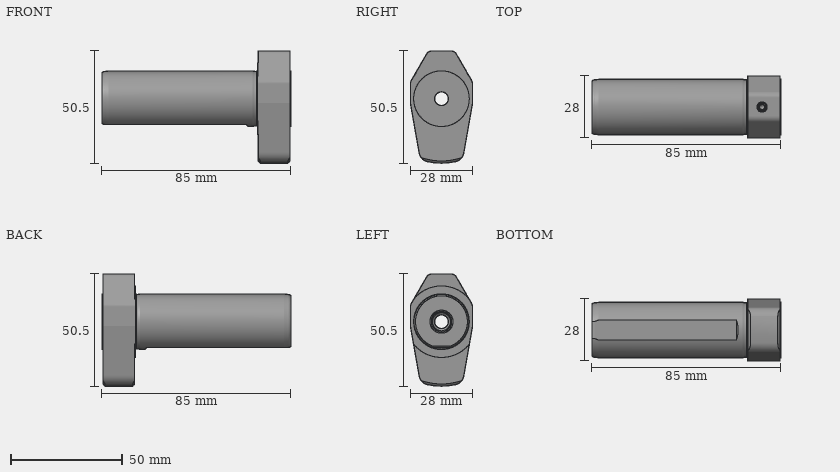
import cadquery as cq
import math

LENGTH = 85.0
HEAD_FRONT = 70.2
HEAD_BACK = 84.5
HEAD_TOP = 21.5
HEAD_BOTTOM_RADIUS = 29.0
HEAD_HALF_WIDTH = 13.98
SHOULDER_Z = 7.5
SHOULDER_SLOPE = 60.0
TAPER_START_Z = -2.1
TAPER_ANGLE = 10.0
TOP_FILLET = 3.0
BOTTOM_FILLET = 5.0
BOTTOM_CHAMFER = 1.0

FRONT_PAD_DIAMETER = 32.1
FRONT_PAD_HEIGHT = 0.25
BACK_PAD_DIAMETER = 25.0

SHAFT_RADIUS = 25.0 / 2
RELIEF_RADIUS = 24.6 / 2
TIP_FACE_RADIUS = 11.65
TIP_ROUND_LENGTH = 1.5
LEAD_IN_END = 3.15
GROOVE_START = 67.8
GROOVE_TAPER = 0.8
GROOVE_FLOOR_END = 69.4

FLAT_DROP = 11.65
FLAT_RAMP_START = 64.85

BORE_DIAMETER = 6.0
COUNTERSINK_DIAMETER = 10.4
ENTRY_DIAMETER = 9.2
THREAD_DIAMETER = 8.2
COUNTERSINK_DEPTH = 0.7
ENTRY_DEPTH = 12.75
THREAD_DEPTH = 25.5

SCREW_X = 76.4
SCREW_MOUTH_DIAMETER = 4.6
SCREW_DIAMETER = 4.0
SCREW_TOP_DIAMETER = 3.3
SOCKET_DIAMETER = 2.3
SCREW_RECESS = 0.3
SOCKET_DEPTH = 1.7


def revolve_about_x(outline):
    return outline.close().revolve(360, (0, 0, 0), (1, 0, 0))


def disc(x_start, x_end, diameter):
    return cq.Workplane("YZ", origin=(x_start, 0, 0)).circle(diameter / 2).extrude(x_end - x_start)


def make_head():
    top_half_width = HEAD_HALF_WIDTH - (HEAD_TOP - SHOULDER_Z) / math.tan(math.radians(SHOULDER_SLOPE))

    slope = math.tan(math.radians(TAPER_ANGLE))
    axis_width = HEAD_HALF_WIDTH - slope * TAPER_START_Z
    a = 1 + slope**2
    b = 2 * axis_width * slope
    c = axis_width**2 - HEAD_BOTTOM_RADIUS**2
    corner_z = (-b - math.sqrt(b**2 - 4 * a * c)) / (2 * a)
    corner_y = axis_width + slope * corner_z

    head = (
        cq.Workplane("YZ", origin=(HEAD_FRONT, 0, 0))
        .moveTo(top_half_width, HEAD_TOP)
        .lineTo(HEAD_HALF_WIDTH, SHOULDER_Z)
        .lineTo(HEAD_HALF_WIDTH, TAPER_START_Z)
        .lineTo(corner_y, corner_z)
        .threePointArc((0, -HEAD_BOTTOM_RADIUS), (-corner_y, corner_z))
        .lineTo(-HEAD_HALF_WIDTH, TAPER_START_Z)
        .lineTo(-HEAD_HALF_WIDTH, SHOULDER_Z)
        .lineTo(-top_half_width, HEAD_TOP)
        .close()
        .extrude(HEAD_BACK - HEAD_FRONT)
    )
    above_taper = cq.selectors.BoxSelector((0, -42.5, SHOULDER_Z - 0.85), (LENGTH, 42.5, HEAD_TOP + 0.85))
    bottom_corners = cq.selectors.BoxSelector((0, -42.5, corner_z - 0.85), (LENGTH, 42.5, corner_z + 0.85))
    head = head.edges("|X").edges(above_taper).fillet(TOP_FILLET)
    head = head.edges("|X").edges(bottom_corners).fillet(BOTTOM_FILLET)

    rim = HEAD_BOTTOM_RADIUS - BOTTOM_CHAMFER
    blank = revolve_about_x(
        cq.Workplane("XZ")
        .moveTo(HEAD_FRONT, 0)
        .lineTo(HEAD_FRONT, rim)
        .lineTo(HEAD_FRONT + BOTTOM_CHAMFER, HEAD_BOTTOM_RADIUS)
        .lineTo(HEAD_BACK - BOTTOM_CHAMFER, HEAD_BOTTOM_RADIUS)
        .lineTo(HEAD_BACK, rim)
        .lineTo(HEAD_BACK, 0)
    )
    head = head.intersect(blank)

    pad_front = HEAD_FRONT - FRONT_PAD_HEIGHT
    shifted_head = head.translate((-FRONT_PAD_HEIGHT, 0, 0))
    front_pad = disc(pad_front, HEAD_FRONT, FRONT_PAD_DIAMETER).intersect(shifted_head)
    return head.union(front_pad).union(disc(HEAD_BACK, LENGTH, BACK_PAD_DIAMETER))


def tip_arc_middle(start_z, end_z):
    """Middle of the tip rounding, which ends parallel to the shaft axis."""
    drop = end_z - start_z
    radius = (TIP_ROUND_LENGTH**2 + drop**2) / (2 * drop)
    half_angle = math.asin(TIP_ROUND_LENGTH / radius) / 2
    x = TIP_ROUND_LENGTH - radius * math.sin(half_angle)
    z = end_z - radius * (1 - math.cos(half_angle))
    return x, z


def make_shaft():
    shaft = revolve_about_x(
        cq.Workplane("XZ")
        .lineTo(0, TIP_FACE_RADIUS)
        .threePointArc(tip_arc_middle(TIP_FACE_RADIUS, RELIEF_RADIUS), (TIP_ROUND_LENGTH, RELIEF_RADIUS))
        .lineTo(LEAD_IN_END, SHAFT_RADIUS)
        .lineTo(GROOVE_START, SHAFT_RADIUS)
        .lineTo(GROOVE_START + GROOVE_TAPER, RELIEF_RADIUS)
        .lineTo(GROOVE_FLOOR_END, RELIEF_RADIUS)
        .lineTo(HEAD_FRONT - FRONT_PAD_HEIGHT, SHAFT_RADIUS)
        .lineTo(HEAD_FRONT, SHAFT_RADIUS)
        .lineTo(HEAD_FRONT, 0)
    )

    flat_tip = FLAT_DROP - (RELIEF_RADIUS - TIP_FACE_RADIUS)
    arc_x, arc_z = tip_arc_middle(flat_tip, FLAT_DROP)
    ramp = SHAFT_RADIUS - FLAT_DROP
    flat_cut = (
        cq.Workplane("XZ")
        .moveTo(0, -flat_tip)
        .threePointArc((arc_x, -arc_z), (TIP_ROUND_LENGTH, -FLAT_DROP))
        .lineTo(FLAT_RAMP_START, -FLAT_DROP)
        .lineTo(FLAT_RAMP_START + ramp, -SHAFT_RADIUS)
        .lineTo(0, -SHAFT_RADIUS)
        .close()
        .extrude(SHAFT_RADIUS, both=True)
    )
    return shaft.cut(flat_cut)


def make_bore():
    entry_end_x = ENTRY_DEPTH + (ENTRY_DIAMETER - THREAD_DIAMETER) / 2
    thread_end_x = THREAD_DEPTH + (THREAD_DIAMETER - BORE_DIAMETER) / 2
    return revolve_about_x(
        cq.Workplane("XZ")
        .lineTo(0, COUNTERSINK_DIAMETER / 2)
        .lineTo(COUNTERSINK_DEPTH, ENTRY_DIAMETER / 2)
        .lineTo(ENTRY_DEPTH, ENTRY_DIAMETER / 2)
        .lineTo(entry_end_x, THREAD_DIAMETER / 2)
        .lineTo(THREAD_DEPTH, THREAD_DIAMETER / 2)
        .lineTo(thread_end_x, BORE_DIAMETER / 2)
        .lineTo(LENGTH, BORE_DIAMETER / 2)
        .lineTo(LENGTH, 0)
    )


def make_screw_recess():
    """Space above the set screw, around its bevelled rim and inside its socket."""
    bevel_drop = (SCREW_DIAMETER - SCREW_TOP_DIAMETER) / 2
    mouth_depth = (SCREW_MOUTH_DIAMETER - SCREW_DIAMETER) / 2
    socket_radius = SOCKET_DIAMETER / 2
    recess = (
        cq.Workplane("XZ")
        .lineTo(SCREW_MOUTH_DIAMETER / 2, 0)
        .lineTo(SCREW_DIAMETER / 2, -mouth_depth)
        .lineTo(SCREW_DIAMETER / 2, -SCREW_RECESS - bevel_drop)
        .lineTo(SCREW_TOP_DIAMETER / 2, -SCREW_RECESS)
        .lineTo(socket_radius, -SCREW_RECESS)
        .lineTo(socket_radius, -SOCKET_DEPTH)
        .lineTo(0, -SOCKET_DEPTH - socket_radius)
        .close()
        .revolve(360, (0, 0, 0), (0, 1, 0))
    )
    return recess.translate((SCREW_X, 0, HEAD_TOP))


result = make_head().union(make_shaft()).cut(make_bore()).cut(make_screw_recess())